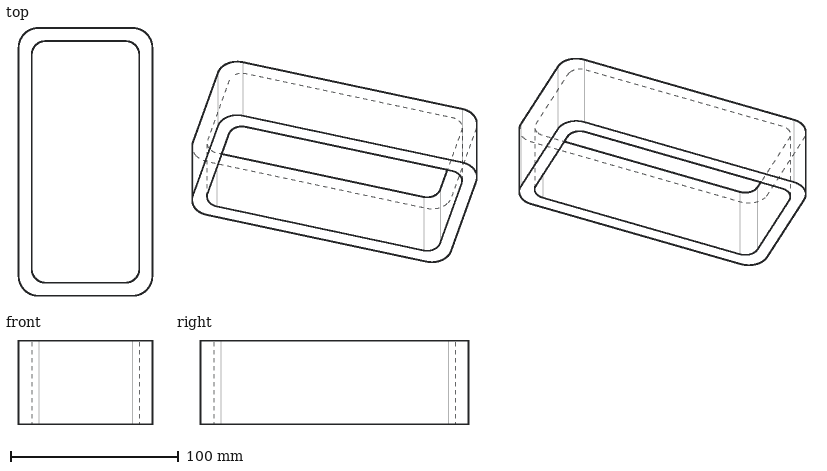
import cadquery as cq

width = 80.0
depth = 160.0
length = 50.0
wall = 8.0
outer_radius = 1.5 * wall
inner_radius = 1.0 * wall


def rounded_block(size_x, size_y, corner_radius):
    """Block standing on Z = 0 with its four vertical edges rounded."""
    block = cq.Workplane("XY").rect(size_x, size_y).extrude(length)
    return block.edges("|Z").fillet(corner_radius)


outside = rounded_block(width, depth, outer_radius)
opening = rounded_block(width - 2 * wall, depth - 2 * wall, inner_radius)

result = outside.cut(opening)